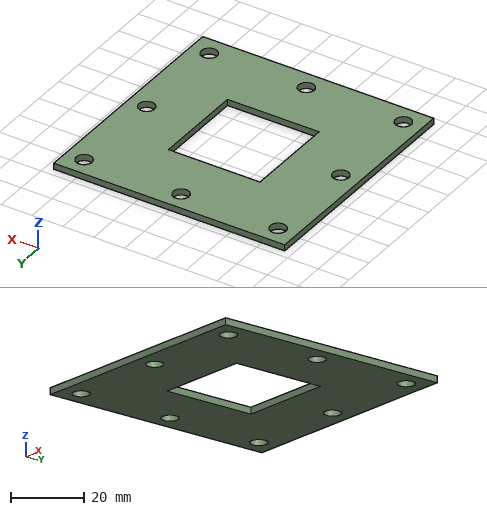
import cadquery as cq

plate_side = 75.0
plate_thickness = 2.0

window_side = 29.7

hole_diameter = 5.0
hole_edge_distance = 6.0
hole_offset = plate_side / 2 - hole_edge_distance

hole_positions = [
    (x, y)
    for x in (-hole_offset, 0, hole_offset)
    for y in (-hole_offset, 0, hole_offset)
    if (x, y) != (0, 0)
]

plate = cq.Workplane("XY").rect(plate_side, plate_side).extrude(plate_thickness)
window = cq.Workplane("XY").rect(window_side, window_side).extrude(plate_thickness)
holes = cq.Workplane("XY").pushPoints(hole_positions).circle(hole_diameter / 2).extrude(plate_thickness)

result = plate.cut(window).cut(holes)